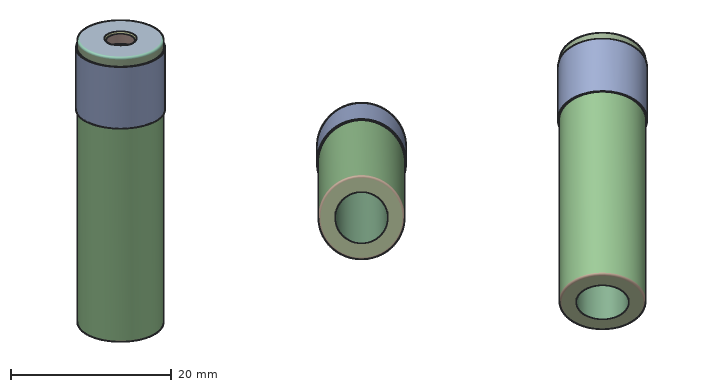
import cadquery as cq

total_length = 39.67
body_diameter = 10.83
collar_diameter = 11.2
collar_bottom_depth = 9.85
collar_top_depth = 1.25
aperture_diameter = 3.57
chamber_diameter = 6.6
end_wall_thickness = 1.6
outer_fillet = 0.28
aperture_chamfer = 0.25


def cylinder(diameter, bottom, top):
    """Upright cylinder on the Z axis between two heights."""
    return cq.Workplane("XY").workplane(offset=bottom).circle(diameter / 2).extrude(top - bottom)


body = cylinder(body_diameter, 0, total_length).faces("<Z or >Z").edges().fillet(outer_fillet)

collar = cylinder(collar_diameter, total_length - collar_bottom_depth, total_length - collar_top_depth)

aperture = cylinder(aperture_diameter, 0, total_length)
chamber = cylinder(chamber_diameter, 0, total_length - end_wall_thickness)

aperture_mouth = (
    cq.Workplane("XY")
    .workplane(offset=total_length)
    .circle(aperture_diameter / 2 + aperture_chamfer)
    .workplane(offset=-aperture_chamfer)
    .circle(aperture_diameter / 2)
    .loft()
)

result = body.union(collar).cut(aperture).cut(chamber).cut(aperture_mouth)